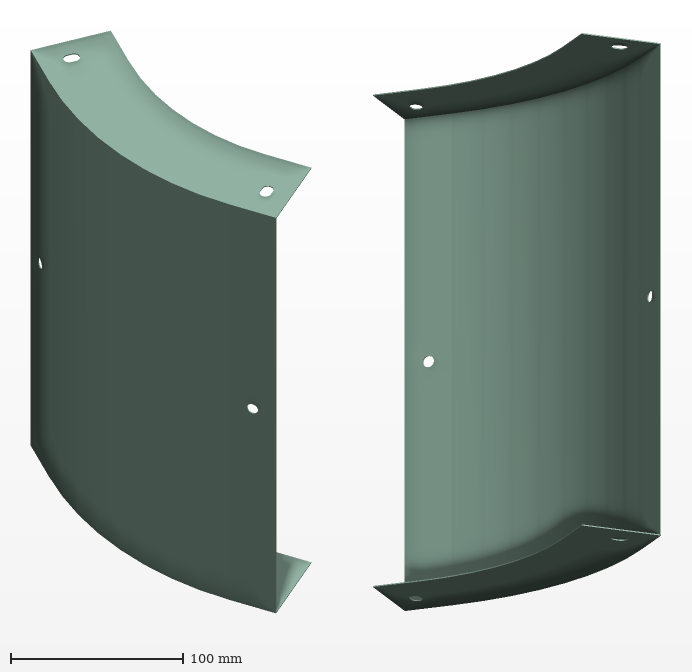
import cadquery as cq
import math

height = 300.0
outer_radius = 200.0
flange_width = 49.8
end_length = 29.7
bend_angle = 45.0
thickness = 0.7

hole_diameter = 7.0
slot_length = 10.0
hole_end_offset = 15.0
slot_wall_offset = 19.8

bend_centre = (0, outer_radius)


def bend_point(angle, along, inward):
    """Point `along` the tangent and `inward` of the outer arc at an angle round the bend."""
    a = math.radians(angle)
    radius = outer_radius - inward
    x = bend_centre[0] + radius * math.sin(a) + along * math.cos(a)
    y = bend_centre[1] - radius * math.cos(a) + along * math.sin(a)
    return (x, y)


def curved_band(inner_offset, depth):
    """Strip with straight ends, from the outer wall face to an offset inside it."""
    half_angle = bend_angle / 2
    return (
        cq.Workplane("XY")
        .moveTo(*bend_point(0, -end_length, 0))
        .lineTo(*bend_point(0, 0, 0))
        .threePointArc(bend_point(half_angle, 0, 0), bend_point(bend_angle, 0, 0))
        .lineTo(*bend_point(bend_angle, end_length, 0))
        .lineTo(*bend_point(bend_angle, end_length, inner_offset))
        .lineTo(*bend_point(bend_angle, 0, inner_offset))
        .threePointArc(bend_point(half_angle, 0, inner_offset), bend_point(0, 0, inner_offset))
        .lineTo(*bend_point(0, -end_length, inner_offset))
        .close()
        .extrude(depth)
    )


def flange_slot(angle, along):
    """Cutter for the slots of both flanges, running across the flange."""
    return (
        cq.Workplane("XY")
        .center(*bend_point(angle, along, slot_wall_offset))
        .slot2D(slot_length, hole_diameter, angle + 90)
        .extrude(height)
    )


def wall_hole(angle, along):
    """Cutter for the round hole through the wall at mid height."""
    a = math.radians(angle)
    inward = cq.Vector(-math.sin(a), math.cos(a), 0)
    x, y = bend_point(angle, along, -thickness)
    depth = 3 * thickness
    start = cq.Vector(x, y, height / 2)
    return cq.Solid.makeCylinder(hole_diameter / 2, depth, start, inward)


wall = curved_band(thickness, height)
bottom_flange = curved_band(flange_width, thickness)
top_flange = bottom_flange.translate((0, 0, height - thickness))
result = wall.union(bottom_flange).union(top_flange)

for angle, along in [(0, hole_end_offset - end_length), (bend_angle, end_length - hole_end_offset)]:
    result = result.cut(flange_slot(angle, along)).cut(wall_hole(angle, along))